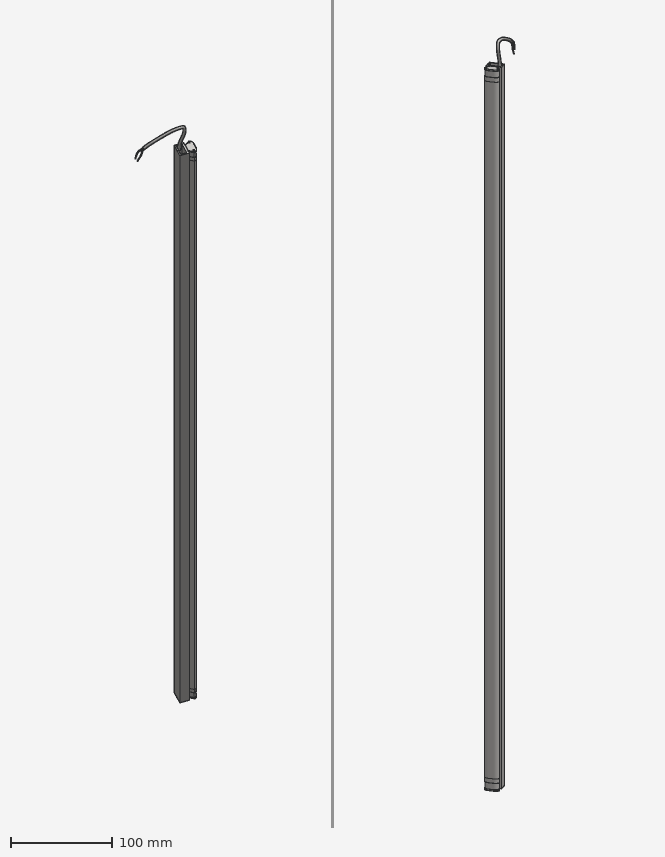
import cadquery as cq

total_height = 790.0
bar_width = 16.0
stud_length = 1.0
bar_base = stud_length
bar_length = 761.0
bar_top = bar_base + bar_length
bar_middle = bar_base + bar_length / 2

housing_depth = 10.0
housing_wall = 1.5
rear_wall = 2.0

corner_width = 5.0
corner_depth = 3.7
flare_depth = 5.3
root_inset = 4.0
bar_depth = housing_depth + flare_depth + corner_depth

collar_length = 5.0
neck_length = 6.7
plate_length = 1.5
cap_length = collar_length + neck_length + plate_length
neck_inset = 0.4
stud_diameter = 1.2
stud_spacing = 12.0
stud_from_rear = 3.8

sheath_radius = 1.5
cable_x = -4.1
sheath_start = (4.0, 758.0)
rise_points = [(4.35, 765.0), (7.0, 773.0), (9.5, 781.0), (9.5, 785.0)]
sheath_apex = (6.0, total_height - sheath_radius)
fall_points = [(-7.0, 786.0), (-19.0, 781.0)]
sheath_end = (-34.0, 773.0)
exit_direction = (-6.0, -5.0)
upward = (0, 1)
forward = (-1, 0)

lead_diameter = 1.2
bare_diameter = 0.95
lead_offset = 0.1
upper_lead_points = [(-39.5, 771.0), (-42.0, 765.0), (-43.0, 762.0)]
lower_lead_points = [(-35.5, 768.0), (-37.0, 764.0), (-40.0, 758.0)]


def make_housing():
    cavity_width = bar_width - 2 * housing_wall
    cavity_depth = housing_depth - housing_wall - rear_wall
    tube = cq.Workplane("XY").box(bar_width, housing_depth, bar_length, centered=(True, False, False))
    cavity = (
        cq.Workplane("XY")
        .box(cavity_width, cavity_depth, bar_length, centered=(True, False, False))
        .translate((0, housing_wall, 0))
    )
    return tube.cut(cavity).translate((0, 0, bar_base))


def mushroom_bar(start, length, inset=0.0):
    """Prism that flares out from the housing to a head with elliptical rear corners."""
    half_width = bar_width / 2 - inset
    half_root = half_width - root_inset
    half_flat = half_width - corner_width
    shoulder = bar_depth - inset - corner_depth
    return (
        cq.Workplane("XY", origin=(0, 0, start))
        .moveTo(-half_root, housing_depth)
        .lineTo(half_root, housing_depth)
        .lineTo(half_width, shoulder)
        .ellipseArc(corner_width, corner_depth, 0, 90, startAtCurrent=True)
        .lineTo(-half_flat, bar_depth - inset)
        .ellipseArc(corner_width, corner_depth, 90, 180, startAtCurrent=True)
        .close()
        .extrude(length)
    )


def make_lens():
    return mushroom_bar(bar_base + cap_length, bar_length - 2 * cap_length)


def make_top_cap():
    collar_start = bar_top - cap_length
    neck_start = collar_start + collar_length
    plate_start = neck_start + neck_length
    studs = (
        cq.Workplane("XY", origin=(0, bar_depth - stud_from_rear, bar_top))
        .pushPoints([(-stud_spacing / 2, 0), (stud_spacing / 2, 0)])
        .circle(stud_diameter / 2)
        .extrude(stud_length)
    )
    return (
        mushroom_bar(collar_start, collar_length)
        .union(mushroom_bar(neck_start, neck_length, neck_inset))
        .union(mushroom_bar(plate_start, plate_length))
        .union(studs)
    )


def cable_plane():
    """Plane of the cable run: local x is world Y, local y is world Z."""
    return cq.Workplane("YZ", origin=(cable_x, 0, 0))


def sweep_round(path, start, direction, diameter):
    """Sweep a circle along a path in the cable plane; start and direction are (Y, Z)."""
    profile = cq.Plane(
        origin=(cable_x, *start),
        xDir=(1, 0, 0),
        normal=(0, *direction),
    )
    return cq.Workplane(profile).circle(diameter / 2).sweep(path)


def make_sheath():
    path = (
        cable_plane()
        .moveTo(*sheath_start)
        .spline([*rise_points, sheath_apex], tangents=[upward, forward], includeCurrent=True)
        .spline([*fall_points, sheath_end], tangents=[forward, exit_direction], includeCurrent=True)
    )
    return sweep_round(path, sheath_start, upward, 2 * sheath_radius)


def make_lead(side, bend, bare_start, tip):
    """Insulated lead that leaves the sheath end face above (1) or below (-1) its centre, with a bare tip."""
    start = (
        sheath_end[0] + side * lead_offset * exit_direction[1],
        sheath_end[1] - side * lead_offset * exit_direction[0],
    )
    run = (tip[0] - bare_start[0], tip[1] - bare_start[1])
    insulated_path = (
        cable_plane()
        .moveTo(*start)
        .spline([bend, bare_start], tangents=[exit_direction, run], includeCurrent=True)
    )
    insulated = sweep_round(insulated_path, start, exit_direction, lead_diameter)
    bare_path = cable_plane().moveTo(*bare_start).lineTo(*tip)
    bare = sweep_round(bare_path, bare_start, run, bare_diameter)
    return insulated.union(bare)


housing = make_housing()
lens = make_lens()
top_cap = make_top_cap()
bottom_cap = top_cap.mirror("XY", (0, 0, bar_middle))
sheath = make_sheath()
upper_lead = make_lead(1, *upper_lead_points)
lower_lead = make_lead(-1, *lower_lead_points)

result = cq.Compound.makeCompound(
    [
        housing.solids().val(),
        lens.solids().val(),
        top_cap.solids().val(),
        bottom_cap.solids().val(),
        sheath.solids().val(),
        upper_lead.solids().val(),
        lower_lead.solids().val(),
    ]
)